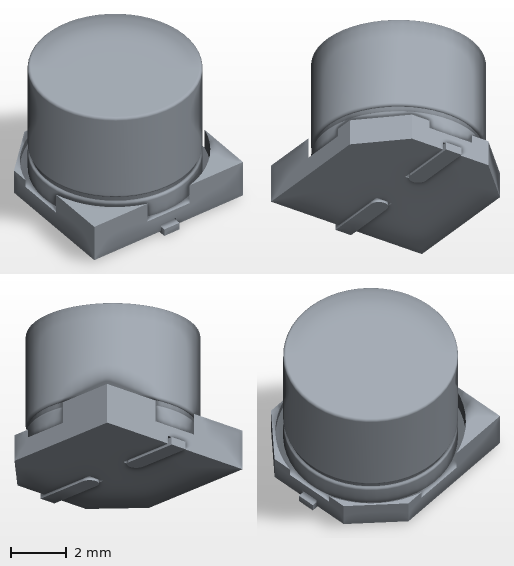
import cadquery as cq

lead_span = 7.0
base_width = 6.6
total_height = 5.4

base_bottom = 0.1
low_wall_top = 1.1
high_wall_top = 1.6
pocket_floor = 0.8
pocket_diameter = 6.86
front_chamfer = 1.65
back_chamfer = 1.61

can_diameter = 6.3
groove_diameter = 6.1
groove_bottom = high_wall_top
groove_top = 1.8

lead_width = 0.67
lead_height = 0.295
lead_inner_end = 0.91
slot_top = 0.4

half_base = base_width / 2
can_radius = can_diameter / 2
groove_radius = groove_diameter / 2
edge_radius = can_radius - groove_radius
arc_middle = edge_radius * 0.5 ** 0.5


def make_lead(side):
    """Bar along X with a round inner end; side is -1 or +1."""
    outer_x = side * lead_span / 2
    inner_x = side * lead_inner_end
    round_x = inner_x + side * lead_width / 2
    half_width = lead_width / 2
    return (
        cq.Workplane("XY")
        .moveTo(outer_x, -half_width)
        .lineTo(round_x, -half_width)
        .threePointArc((inner_x, 0), (round_x, half_width))
        .lineTo(outer_x, half_width)
        .close()
        .extrude(lead_height)
    )


def lead_slot(side):
    """Square-ended slot for a lead, with clearance above the lead."""
    slot_length = half_base - lead_inner_end
    slot_center = side * (half_base + lead_inner_end) / 2
    return cq.Workplane("XY", origin=(slot_center, 0, base_bottom)).box(
        slot_length, lead_width, slot_top - base_bottom, centered=(True, True, False)
    )


def make_base():
    """Chamfered square plate with two wall heights, a round pocket and lead slots."""
    base = (
        cq.Workplane("XY", origin=(0, 0, base_bottom))
        .moveTo(half_base, -half_base)
        .lineTo(half_base, half_base)
        .lineTo(back_chamfer - half_base, half_base)
        .lineTo(-half_base, half_base - back_chamfer)
        .lineTo(-half_base, front_chamfer - half_base)
        .lineTo(front_chamfer - half_base, -half_base)
        .close()
        .extrude(high_wall_top - base_bottom)
    )
    low_half = cq.Workplane("XY", origin=(-half_base / 2, 0, low_wall_top)).box(
        half_base, base_width, high_wall_top - low_wall_top, centered=(True, True, False)
    )
    pocket = (
        cq.Workplane("XY", origin=(0, 0, pocket_floor))
        .circle(pocket_diameter / 2)
        .extrude(high_wall_top - pocket_floor)
    )
    base = base.cut(low_half).cut(pocket)
    for side in (-1, 1):
        base = base.cut(lead_slot(side))
    return base


def make_can():
    """Revolved can with a crimp groove; all its outer edges but the lowest are rounded."""
    lower_round = groove_bottom - edge_radius
    upper_round = groove_top + edge_radius
    top_round = total_height - edge_radius
    arc_x = groove_radius + arc_middle
    return (
        cq.Workplane("XZ")
        .moveTo(0, pocket_floor)
        .lineTo(can_radius, pocket_floor)
        .lineTo(can_radius, lower_round)
        .threePointArc((arc_x, lower_round + arc_middle), (groove_radius, groove_bottom))
        .lineTo(groove_radius, groove_top)
        .threePointArc((arc_x, upper_round - arc_middle), (can_radius, upper_round))
        .lineTo(can_radius, top_round)
        .threePointArc((arc_x, top_round + arc_middle), (groove_radius, total_height))
        .lineTo(0, total_height)
        .close()
        .revolve(360, (0, 0, 0), (0, 1, 0))
    )


base = make_base()
can = make_can()
leads = [make_lead(side) for side in (-1, 1)]

result = cq.Compound.makeCompound([base.val(), can.val(), *[lead.val() for lead in leads]])